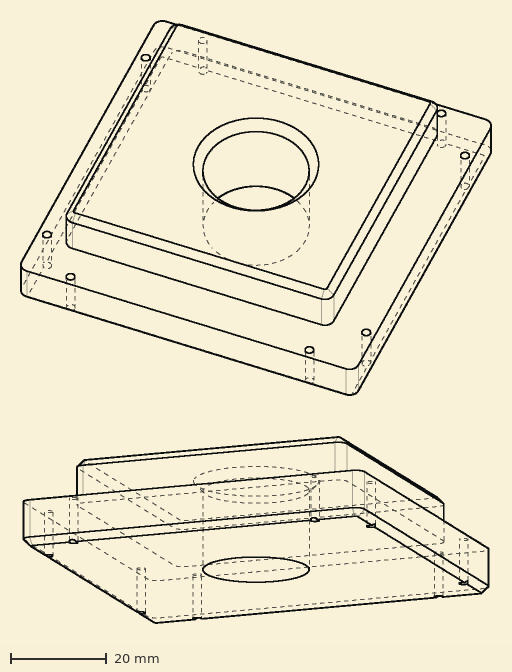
import cadquery as cq

flange_side = 76.2
flange_height = 9.525

total_height = 19.05
block_height = total_height - flange_height
narrow_ledge = 6.35
wide_ledge = 9.525
block_side = flange_side - narrow_ledge - wide_ledge
block_offset = (wide_ledge - narrow_ledge) / 2

corner_radius = 2.0
rim_chamfer = 1.5

bore_diameter = 22.2
countersink_width = 2.0
countersink_diameter = bore_diameter + 2 * countersink_width
countersink_angle = 90

pin_hole_diameter = 1.82
pin_hole_edge_distance = 2.0
pin_hole_half_spacing = 27.0


def rounded_square(side, height):
    """Square plate standing on Z = 0 with rounded vertical edges."""
    plate = cq.Workplane("XY").rect(side, side).extrude(height)
    return plate.edges("|Z").fillet(corner_radius)


def make_flange():
    flange = rounded_square(flange_side, flange_height)
    return flange.faces("<Z").chamfer(rim_chamfer)


def make_block():
    block = rounded_square(block_side, block_height)
    block = block.faces(">Z").chamfer(rim_chamfer)
    return block.translate((-block_offset, block_offset, flange_height))


def cut_bore(body):
    top = body.faces(">Z").workplane(origin=(0, 0, total_height))
    return top.cskHole(bore_diameter, countersink_diameter, countersink_angle)


def cut_pin_holes(body):
    across = flange_side / 2 - pin_hole_edge_distance
    along = pin_hole_half_spacing
    centres = []
    for x_sign in (-1, 1):
        for y_sign in (-1, 1):
            centres.append((x_sign * along, y_sign * across))
            centres.append((x_sign * across, y_sign * along))
    pins = cq.Workplane("XY").pushPoints(centres).circle(pin_hole_diameter / 2).extrude(flange_height)
    return body.cut(pins)


body = make_flange().union(make_block())
body = cut_bore(body)
result = cut_pin_holes(body)